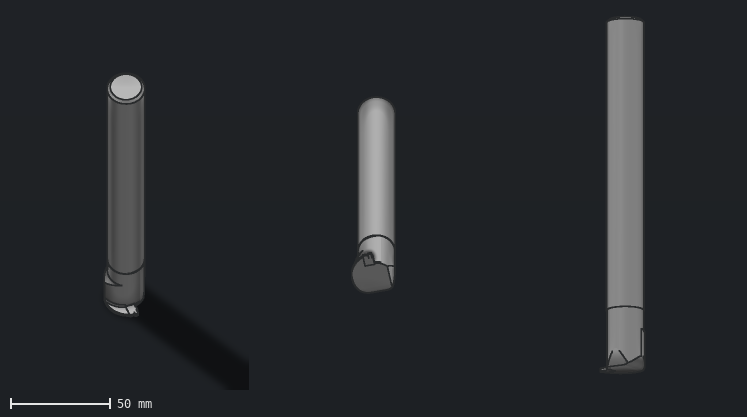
import cadquery as cq
import math

length = 180.0
shank_radius = 9.5
end_chamfer_width = 1.6
end_chamfer_height = 1.5

neck_top = 30.0
neck_radius = 9.4

holder_bottom = 0.4
head_radius = 12.0
head_x = head_radius - shank_radius
shoulder_top = 19.6
shoulder_slope = 1.6
nose_radius = 6.5

floor_top = 1.8
flute_radius = 12.6
flute_x = -3.6
flute_y = 0.4
flute_chamfer = 0.9

relief_height = 11.7
relief_depth = 2.7

insert_left = 8.6
insert_right = 14.4
insert_front = -4.1
insert_back = 0.7
tip_left = 12.6
tip_right = 15.0
tip_front = -1.5
tip_back = 0.2
rake_end_x = 13.5
rake_drop = 0.4


def make_shank():
    """Round shank with a bevelled upper end."""
    return (
        cq.Workplane("XY", origin=(0, 0, neck_top))
        .circle(shank_radius)
        .extrude(length - neck_top)
        .faces(">Z")
        .chamfer(end_chamfer_height, end_chamfer_width)
    )


def make_neck():
    """Round neck running down to the underside of the holder."""
    return (
        cq.Workplane("XY", origin=(0, 0, holder_bottom))
        .circle(neck_radius)
        .extrude(neck_top - holder_bottom)
    )


def make_head():
    """Half disc on the -Y side, topped by a cone that falls away from the neck."""
    head = (
        cq.Workplane("XY", origin=(0, 0, holder_bottom))
        .moveTo(-shank_radius, 0)
        .threePointArc((head_x, -head_radius), (head_x + head_radius, 0))
        .close()
        .extrude(shoulder_top - holder_bottom)
    )
    cone_radius = neck_radius + shoulder_top / shoulder_slope
    cone = (
        cq.Workplane("XZ")
        .polyline([(0, 0), (cone_radius, 0), (neck_radius, shoulder_top), (0, shoulder_top)])
        .close()
        .revolve(360, (0, 0, 0), (0, 1, 0))
    )
    return head.intersect(cone)


def make_flute_core():
    """Convex core that bounds the chip clearance, flared at the floor in front of the insert."""
    center = (flute_x, flute_y)
    core = (
        cq.Workplane("XY", origin=(*center, floor_top))
        .circle(flute_radius)
        .extrude(neck_top - floor_top)
    )
    foot = (
        cq.Workplane("XY", origin=(*center, floor_top))
        .circle(flute_radius + flute_chamfer)
        .workplane(offset=flute_chamfer)
        .circle(flute_radius)
        .loft()
    )
    reach = 2 * head_radius
    front_region = (
        cq.Workplane("XY")
        .box(2 * reach, reach, neck_top, centered=(True, False, False))
        .translate((0, insert_front - reach, 0))
    )
    return core.union(foot.intersect(front_region))


def make_nose_cut():
    """Material outside the rounded lower -X edge of the head."""
    left = -shank_radius
    inset = nose_radius * (1 - math.sqrt(0.5))
    return (
        cq.Workplane("XZ")
        .moveTo(left, holder_bottom)
        .lineTo(left + nose_radius, holder_bottom)
        .threePointArc((left + inset, holder_bottom + inset), (left, holder_bottom + nose_radius))
        .close()
        .extrude(2 * head_radius, both=True)
    )


def make_relief_cut():
    """Material outside the large arc that draws in the +Y side of the lower end."""
    arc_radius = (relief_height**2 + relief_depth**2) / (2 * relief_depth)
    relief_top = holder_bottom + relief_height
    half_angle = math.asin(relief_height / arc_radius) / 2
    middle = (
        shank_radius - arc_radius * (1 - math.cos(half_angle)),
        relief_top - arc_radius * math.sin(half_angle),
    )
    return (
        cq.Workplane("YZ")
        .moveTo(shank_radius, relief_top)
        .threePointArc(middle, (shank_radius - relief_depth, holder_bottom))
        .lineTo(shank_radius, holder_bottom)
        .close()
        .extrude(2 * head_radius, both=True)
    )


def make_insert():
    """Rectangular insert with a cutting tip that drops below the holder."""
    block = (
        cq.Workplane("XY", origin=(0, 0, holder_bottom))
        .polyline([
            (insert_left, insert_front),
            (insert_right, insert_front),
            (insert_right, tip_back),
            (tip_left, insert_back),
            (insert_left, insert_back),
        ])
        .close()
        .extrude(floor_top - holder_bottom)
    )
    tip = (
        cq.Workplane("XZ", origin=(0, tip_back, 0))
        .polyline([
            (tip_left, holder_bottom),
            (tip_right, 0),
            (tip_right, floor_top),
            (tip_left, floor_top),
        ])
        .close()
        .extrude(tip_back - tip_front)
    )
    return block.union(tip).cut(make_rake_cut())


def make_rake_cut():
    """Shallow wedge above the tip, sloping down from a diagonal line across the insert."""
    hinge_start = cq.Vector(tip_left, tip_back, floor_top)
    hinge_end = cq.Vector(rake_end_x, tip_front, floor_top)
    hinge = hinge_end - hinge_start
    outward = hinge.cross(cq.Vector(0, 0, -1)).normalized()
    width = tip_right - tip_left
    plane = cq.Plane(origin=hinge_start.toTuple(), xDir=outward.toTuple(), normal=hinge.toTuple())
    wedge = (
        cq.Workplane(plane)
        .polyline([(0, 0), (2 * width, 0), (2 * width, -2 * rake_drop)])
        .close()
        .extrude(2 * width, both=True)
    )
    tip_area = (
        cq.Workplane("XY")
        .polyline([
            (tip_left, tip_back),
            (rake_end_x, tip_front),
            (tip_right, tip_front),
            (tip_right, tip_back),
        ])
        .close()
        .extrude(floor_top)
    )
    return wedge.intersect(tip_area)


def make_insert_clearance():
    """Open space beyond the outer end of the insert."""
    return (
        cq.Workplane("XY")
        .box(head_radius, tip_back - insert_front, floor_top, centered=False)
        .translate((insert_right, insert_front, 0))
    )


def make_holder(insert):
    """Shank, neck and head as one body, with a matching seat for the insert."""
    blank = make_neck().union(make_head())
    reach = 2 * head_radius
    floor_slab = (
        cq.Workplane("XY", origin=(0, 0, holder_bottom))
        .rect(2 * reach, 2 * reach)
        .extrude(floor_top - holder_bottom)
    )
    lower_end = blank.intersect(make_flute_core()).union(blank.intersect(floor_slab))
    lower_end = lower_end.cut(make_nose_cut()).cut(make_relief_cut())
    lower_end = lower_end.cut(make_insert_clearance()).cut(make_rake_cut()).cut(insert)
    return make_shank().union(lower_end)


cutting_insert = make_insert()
holder = make_holder(cutting_insert)

result = cq.Compound.makeCompound([holder.val(), cutting_insert.val()])